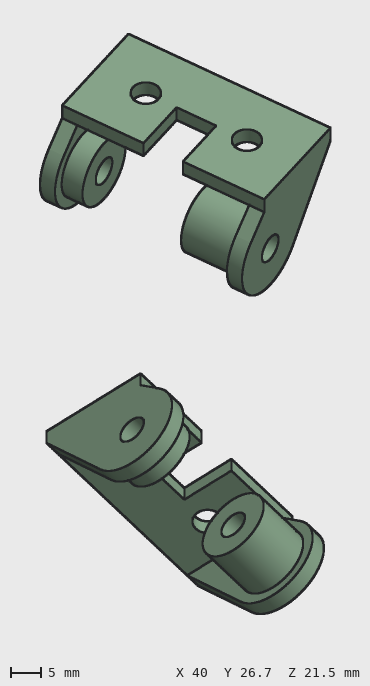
import cadquery as cq
import math

WIDTH = 40.0
PLATE_DEPTH = 20.0
THICKNESS = 3.0
NOTCH_WIDTH = 7.8
NOTCH_DEPTH = PLATE_DEPTH / 2
HOLE_DIAMETER = 5.0
PLATE_HOLE_SPACING = WIDTH / 2

PIVOT_Y = 1.8
PIVOT_Z = -13.0
EAR_RADIUS = 17.0 / 2
BOSS_DIAMETER = 13.0
LEFT_BOSS_LENGTH = 4.1
RIGHT_BOSS_LENGTH = 10.4

LEFT_END = -WIDTH / 2
RIGHT_END = WIDTH / 2


def pivot_disc(diameter, start_x, length):
    """Cylinder along +X on the pivot axis."""
    return (
        cq.Workplane("YZ", origin=(start_x, PIVOT_Y, PIVOT_Z))
        .circle(diameter / 2)
        .extrude(length)
    )


def tangent_point(corner, side):
    """Point where a line from corner (Y, Z) touches the ear arc; side is +1 (back) or -1 (front)."""
    dy = corner[0] - PIVOT_Y
    dz = corner[1] - PIVOT_Z
    angle = math.atan2(dz, dy) - side * math.acos(EAR_RADIUS / math.hypot(dy, dz))
    return (PIVOT_Y + EAR_RADIUS * math.cos(angle), PIVOT_Z + EAR_RADIUS * math.sin(angle))


def make_plate():
    plate = cq.Workplane("XY").rect(WIDTH, PLATE_DEPTH).extrude(-THICKNESS)
    plate = plate.translate((0, PLATE_DEPTH / 2, 0))
    notch = cq.Workplane("XY").rect(NOTCH_WIDTH, 2 * NOTCH_DEPTH).extrude(-THICKNESS)
    holes = (
        cq.Workplane("XY", origin=(0, PLATE_DEPTH / 2, 0))
        .rarray(PLATE_HOLE_SPACING, 0.4, 2, 1)
        .circle(HOLE_DIAMETER / 2)
        .extrude(-THICKNESS)
    )
    return plate.cut(notch).cut(holes)


def make_ear(start_x):
    """Hanging ear whose straight edges run tangent into its round end."""
    front_corner = (0, -THICKNESS)
    back_corner = (PLATE_DEPTH, -THICKNESS)
    return (
        cq.Workplane("YZ", origin=(start_x, 0, 0))
        .moveTo(*front_corner)
        .lineTo(*tangent_point(front_corner, -1))
        .threePointArc((PIVOT_Y, PIVOT_Z - EAR_RADIUS), tangent_point(back_corner, 1))
        .lineTo(*back_corner)
        .close()
        .extrude(THICKNESS)
    )


result = make_plate()
for ear_start in (LEFT_END, RIGHT_END - THICKNESS):
    result = result.union(make_ear(ear_start))

left_boss = pivot_disc(BOSS_DIAMETER, LEFT_END + THICKNESS, LEFT_BOSS_LENGTH)
right_boss = pivot_disc(BOSS_DIAMETER, RIGHT_END - THICKNESS, -RIGHT_BOSS_LENGTH)
result = result.union(left_boss).union(right_boss)

result = result.cut(pivot_disc(HOLE_DIAMETER, LEFT_END, WIDTH))